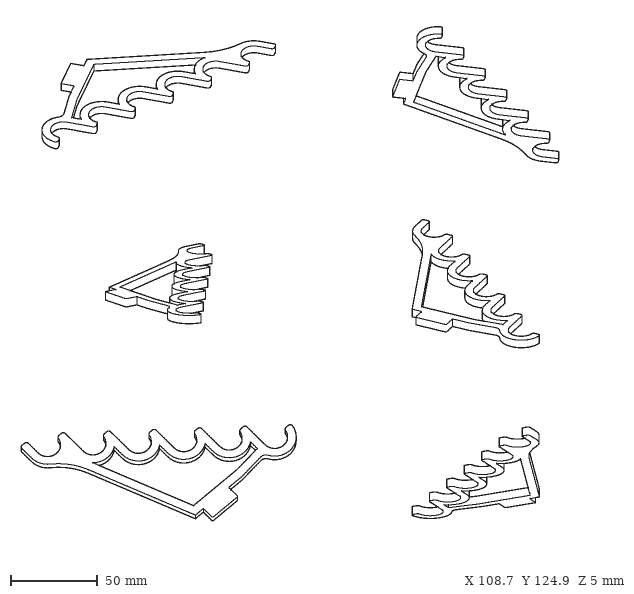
import cadquery as cq
import math

thickness = 5.0
hook_count = 6
inner_radius = 7.5
band_width = 5.0
outer_radius = inner_radius + band_width
step_x = 17.0
step_y = inner_radius + outer_radius
first_x = 13.9
first_y = 12.5
last_bar_length = 9.8
tip_radius = 1.5

pad_width = 7.9
pad_bottom = 54.1
pad_height = 20.0
pad_corner_radius = 0.5
upright_right = 13.1
upright_top = 80.4
kink_outer_y = 43.7
kink_inner_y = 42.6
leg_angle = math.radians(6.4)
arm_angle = math.radians(22.1)
arm_width = 5.1

arm_blend_radius = 40.1
leg_blend_radius = 4.0


def hook_center(index):
    return first_x + index * step_x, first_y + index * step_y


def plate(points):
    return cq.Workplane("XY").polyline(points).close().extrude(thickness)


def disc(center, radius):
    return cq.Workplane("XY").center(*center).circle(radius).extrude(thickness)


def block(left, bottom, width, height):
    return cq.Workplane("XY").box(width, height, thickness, centered=False).translate((left, bottom, 0))


def hook(index, bar_length):
    """Left half of a ring, with a straight bar running right from its top."""
    x, y = hook_center(index)
    return (
        cq.Workplane("XY")
        .moveTo(x, y - outer_radius)
        .threePointArc((x - outer_radius, y), (x, y + outer_radius))
        .lineTo(x + bar_length, y + outer_radius)
        .lineTo(x + bar_length, y + inner_radius)
        .lineTo(x, y + inner_radius)
        .threePointArc((x - inner_radius, y), (x, y - inner_radius))
        .close()
        .extrude(thickness)
    )


def round_tip(body, x, middle_y):
    """Round the two corners at the right end of a bar."""
    margin = band_width / 2 + 0.1
    corners = cq.selectors.BoxSelector(
        (x - 0.1, middle_y - margin, 0), (x + 0.1, middle_y + margin, thickness)
    )
    return body.edges("|Z").edges(corners).fillet(tip_radius)


def blend(start, angle, side, center, radius):
    """Concave fill tangent to a straight edge and a hook's outer circle.

    The edge leaves start at the given angle; side is +1 when the fill lies to its left.
    """
    along = (math.cos(angle), math.sin(angle))
    normal = (-side * along[1], side * along[0])
    dx = center[0] - start[0]
    dy = center[1] - start[1]
    reach = dx * along[0] + dy * along[1]
    height = dx * normal[0] + dy * normal[1]
    travel = reach - math.sqrt((radius + outer_radius) ** 2 - (radius - height) ** 2)
    on_edge = (start[0] + travel * along[0], start[1] + travel * along[1])
    arc_center = (on_edge[0] + radius * normal[0], on_edge[1] + radius * normal[1])
    share = outer_radius / (radius + outer_radius)
    on_hook = tuple(c + share * (a - c) for c, a in zip(center, arc_center))
    fill = plate([on_edge, arc_center, on_hook, center])
    return fill.cut(disc(arc_center, radius))


hooks = hook(0, step_x)
for i in range(1, hook_count):
    hooks = hooks.union(hook(i, last_bar_length if i == hook_count - 1 else step_x))

hooks = round_tip(hooks, first_x, first_y - step_y / 2)
for i in range(hook_count):
    hook_x, hook_y = hook_center(i)
    bar_length = last_bar_length if i == hook_count - 1 else step_x
    hooks = round_tip(hooks, hook_x + bar_length, hook_y + step_y / 2)

pad = block(0, pad_bottom, upright_right, pad_height).edges("|Z and <X").fillet(pad_corner_radius)

leg_bottom = first_y + step_y / 2
upright_top_inner = (
    upright_top + (upright_right - pad_width) * math.tan(arm_angle) - arm_width / math.cos(arm_angle)
)
upright = plate([
    (pad_width, upright_top),
    (pad_width, kink_outer_y),
    (pad_width + (kink_outer_y - leg_bottom) * math.tan(leg_angle), leg_bottom),
    (upright_right + (kink_inner_y - leg_bottom) * math.tan(leg_angle), leg_bottom),
    (upright_right, kink_inner_y),
    (upright_right, upright_top_inner),
])

top_center = hook_center(hook_count - 1)
inner_end_x = top_center[0] - step_x
outer_end_x = top_center[0] - outer_radius
arm = plate([
    (pad_width, upright_top),
    (upright_right, upright_top_inner),
    (inner_end_x, upright_top_inner + (inner_end_x - upright_right) * math.tan(arm_angle)),
    (outer_end_x, upright_top + (outer_end_x - pad_width) * math.tan(arm_angle)),
])

arm_blend = blend((pad_width, upright_top), arm_angle, 1, top_center, arm_blend_radius)
leg_blend = blend(
    (pad_width, kink_outer_y), leg_angle - math.pi / 2, -1, hook_center(0), leg_blend_radius
)
corner_left = inner_end_x
corner_bottom = top_center[1] - outer_radius
corner_fill = block(corner_left, corner_bottom, outer_radius, 2 * band_width)

frame = pad.union(upright).union(arm).union(arm_blend).union(leg_blend).union(corner_fill)
for i in (0, hook_count - 1):
    frame = frame.cut(disc(hook_center(i), inner_radius))

result = hooks.union(frame)